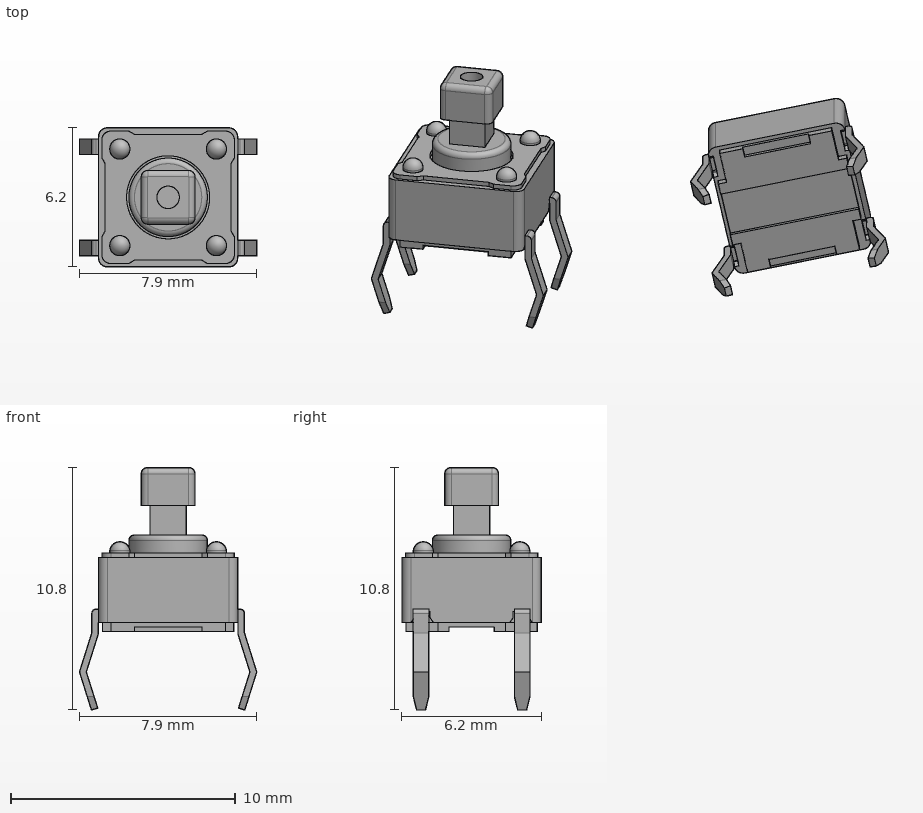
import cadquery as cq
import math

BASE_TOP = 0.4
BODY_TOP = 3.3
COVER_TOP = 3.5
PLUNGER_TOP = 4.3
CAP_BOTTOM = 5.6
CAP_TOP = 7.3
LEG_BOTTOM = -3.5

BODY_SIDE = 6.2
BODY_CORNER_RADIUS = 0.4

COVER_SIDE = 5.9
COVER_CORNER_RADIUS = 0.4
NOTCH_DEPTH = 0.15
NOTCH_INNER_WIDTH = 3.0
NOTCH_OUTER_WIDTH = 3.5
OPENING_DIAMETER = 3.7

BASE_SIDE = 5.85
BASE_TONGUE_WIDTH = 3.0
BASE_MAIN_WIDTH = 5.1
BASE_CUT_HEIGHT = 0.2
BASE_SLOT_WIDTH = 2.0
BASE_RECESS_WIDTH = 3.0
BASE_RECESS_DEPTH = 0.4

RIVET_OFFSET = 2.15
RIVET_DIAMETER = 0.9
RIVET_RIM_HEIGHT = 0.1
RIVET_HEIGHT = 0.5

PLUNGER_DIAMETER = 3.5
PLUNGER_FILLET = 0.25
STEM_SIDE = 1.63
CAP_SIDE = 2.4
CAP_SIDE_FILLET = 0.3
CAP_TOP_FILLET = 0.28
CAP_HOLE_DIAMETER = 1.0
CAP_HOLE_DEPTH = 0.5

LEG_SPAN = 7.9
LEG_THICKNESS = 0.3
LEG_WIDTH = 0.7
LEG_OFFSET = 2.25
LEG_TOP = 1.0
LEG_BEND_RADIUS = 0.2
LEG_ROOT_LENGTH = 0.2
LEG_KNEE_Z = -1.8
LEG_SLANT = math.radians(17.5)
TIP_WIDTH = 0.4
TIP_LENGTH = 0.6

WINDOW_OFFSET = 2.2
WINDOW_TOP = 0.9
WINDOW_FLARE_HEIGHT = 0.22
WINDOW_TOP_WIDTH = 0.7
WINDOW_BOTTOM_WIDTH = 1.0
WINDOW_DEPTH = 0.2


def block(x_size, y_size, bottom, top):
    """Box centred on the Z axis between two heights."""
    return cq.Workplane("XY").workplane(offset=bottom).rect(x_size, y_size).extrude(top - bottom)


def disc(diameter, bottom, top):
    """Cylinder on the Z axis between two heights."""
    return cq.Workplane("XY").workplane(offset=bottom).circle(diameter / 2).extrude(top - bottom)


def make_base():
    tongues = block(BASE_SIDE, BASE_TONGUE_WIDTH, 0, BASE_TOP)
    base = block(BASE_MAIN_WIDTH, BASE_SIDE, 0, BASE_TOP).union(tongues)
    base = base.cut(block(BASE_SIDE, BASE_SLOT_WIDTH, 0, BASE_CUT_HEIGHT))
    recess = block(BASE_RECESS_WIDTH, 2 * BASE_RECESS_DEPTH, 0, BASE_CUT_HEIGHT)
    for side in (-1, 1):
        base = base.cut(recess.translate((0, side * BASE_SIDE / 2, 0)))
    return base


def make_window():
    """Cutter for the opening behind one leg on the -X face, centred on Y = 0."""
    half_top = WINDOW_TOP_WIDTH / 2
    half_bottom = WINDOW_BOTTOM_WIDTH / 2
    flare_top = BASE_TOP + WINDOW_FLARE_HEIGHT
    outline = [
        (-half_bottom, BASE_TOP),
        (-half_top, flare_top),
        (-half_top, WINDOW_TOP),
        (half_top, WINDOW_TOP),
        (half_top, flare_top),
        (half_bottom, BASE_TOP),
    ]
    window = cq.Workplane("YZ").polyline(outline).close().extrude(WINDOW_DEPTH)
    return window.translate((-BODY_SIDE / 2, 0, 0))


def make_body():
    body = block(BODY_SIDE, BODY_SIDE, BASE_TOP, BODY_TOP)
    return body.edges("|Z").fillet(BODY_CORNER_RADIUS)


def make_cover():
    cover = block(COVER_SIDE, COVER_SIDE, BODY_TOP, COVER_TOP)
    cover = cover.edges("|Z").fillet(COVER_CORNER_RADIUS)
    edge = COVER_SIDE / 2
    outline = [
        (-NOTCH_OUTER_WIDTH / 2, -edge),
        (NOTCH_OUTER_WIDTH / 2, -edge),
        (NOTCH_INNER_WIDTH / 2, NOTCH_DEPTH - edge),
        (-NOTCH_INNER_WIDTH / 2, NOTCH_DEPTH - edge),
    ]
    notch = cq.Workplane("XY").workplane(offset=BODY_TOP).polyline(outline).close()
    notch = notch.extrude(COVER_TOP - BODY_TOP)
    for quarter in range(4):
        cover = cover.cut(notch.rotate((0, 0, 0), (0, 0, 1), 90 * quarter))
    return cover.cut(disc(OPENING_DIAMETER, BODY_TOP, COVER_TOP))


def make_rivet():
    """Domed head standing on the cover, on the Z axis."""
    radius = RIVET_DIAMETER / 2
    dome_height = RIVET_HEIGHT - RIVET_RIM_HEIGHT
    sphere_radius = (radius**2 + dome_height**2) / (2 * dome_height)
    sphere_center = RIVET_HEIGHT - sphere_radius
    rim_angle = math.atan2(RIVET_RIM_HEIGHT - sphere_center, radius)
    middle_angle = (rim_angle + math.pi / 2) / 2
    dome_middle = (
        sphere_radius * math.cos(middle_angle),
        sphere_center + sphere_radius * math.sin(middle_angle),
    )
    profile = (
        cq.Workplane("XZ")
        .lineTo(radius, 0)
        .lineTo(radius, RIVET_RIM_HEIGHT)
        .threePointArc(dome_middle, (0, RIVET_HEIGHT))
        .close()
    )
    return profile.revolve(360, (0, 0, 0), (0, 1, 0)).translate((0, 0, COVER_TOP))


def make_plunger():
    plunger = disc(PLUNGER_DIAMETER, BODY_TOP, PLUNGER_TOP)
    plunger = plunger.faces(">Z").edges().fillet(PLUNGER_FILLET)
    return plunger.union(block(STEM_SIDE, STEM_SIDE, PLUNGER_TOP, CAP_BOTTOM))


def make_cap():
    cap = block(CAP_SIDE, CAP_SIDE, CAP_BOTTOM, CAP_TOP)
    cap = cap.edges("|Z").fillet(CAP_SIDE_FILLET)
    cap = cap.faces(">Z").edges().fillet(CAP_TOP_FILLET)
    return cap.cut(disc(CAP_HOLE_DIAMETER, CAP_TOP - CAP_HOLE_DEPTH, CAP_TOP))


def make_leg():
    """Leg on the -X side, centred on Y = 0."""
    inner_x = -BODY_SIDE / 2
    outer_x = inner_x - LEG_THICKNESS
    root_x = inner_x + LEG_ROOT_LENGTH
    knee_x = -LEG_SPAN / 2
    slope = math.tan(LEG_SLANT)
    slanted_width = LEG_THICKNESS / math.cos(LEG_SLANT)
    outer_bend_z = LEG_KNEE_Z + (outer_x - knee_x) / slope
    inner_bend_z = LEG_KNEE_Z + (inner_x - knee_x - slanted_width) / slope
    end_x = knee_x + (LEG_KNEE_Z - LEG_BOTTOM) * slope
    end_inner_x = end_x + LEG_THICKNESS * math.cos(LEG_SLANT)
    end_inner_z = LEG_BOTTOM + LEG_THICKNESS * math.sin(LEG_SLANT)
    bend_center = (outer_x + LEG_BEND_RADIUS, LEG_TOP - LEG_BEND_RADIUS)
    diagonal = LEG_BEND_RADIUS * math.sqrt(0.5)
    profile = (
        cq.Workplane("XZ")
        .moveTo(root_x, LEG_TOP)
        .lineTo(bend_center[0], LEG_TOP)
        .threePointArc((bend_center[0] - diagonal, bend_center[1] + diagonal), (outer_x, bend_center[1]))
        .lineTo(outer_x, outer_bend_z)
        .lineTo(knee_x, LEG_KNEE_Z)
        .lineTo(end_x, LEG_BOTTOM)
        .lineTo(end_inner_x, end_inner_z)
        .lineTo(knee_x + slanted_width, LEG_KNEE_Z)
        .lineTo(inner_x, inner_bend_z)
        .lineTo(inner_x, LEG_TOP - LEG_THICKNESS)
        .lineTo(root_x, LEG_TOP - LEG_THICKNESS)
        .close()
    )
    leg = profile.extrude(LEG_WIDTH / 2, both=True)

    tip_start = LEG_BOTTOM + TIP_LENGTH
    tapered_outline = [
        (-LEG_WIDTH / 2, LEG_TOP),
        (-LEG_WIDTH / 2, tip_start),
        (-TIP_WIDTH / 2, LEG_BOTTOM),
        (TIP_WIDTH / 2, LEG_BOTTOM),
        (LEG_WIDTH / 2, tip_start),
        (LEG_WIDTH / 2, LEG_TOP),
    ]
    envelope = cq.Workplane("YZ").polyline(tapered_outline).close().extrude(-LEG_SPAN)
    return leg.intersect(envelope)


def turned_to_side(shape, side):
    """The shape left on the -X side (side = -1) or mirrored to +X (side = 1)."""
    return shape if side < 0 else shape.mirror("YZ")


body = make_body()
window = make_window()
for x_side in (-1, 1):
    for y_side in (-1, 1):
        body = body.cut(turned_to_side(window, x_side).translate((0, y_side * WINDOW_OFFSET, 0)))

result = body.union(make_base()).union(make_cover()).union(make_plunger()).union(make_cap())

rivet = make_rivet()
leg = make_leg()
for x_side in (-1, 1):
    for y_side in (-1, 1):
        result = result.union(rivet.translate((x_side * RIVET_OFFSET, y_side * RIVET_OFFSET, 0)))
        result = result.union(turned_to_side(leg, x_side).translate((0, y_side * LEG_OFFSET, 0)))